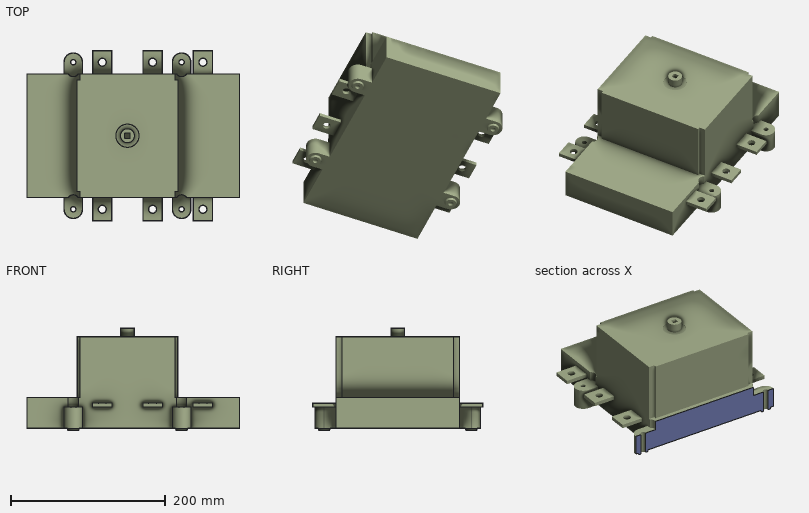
import cadquery as cq
import math

BASE_LEFT = 130.0
BASE_RIGHT = 145.0
BODY_DEPTH = 160.0
BASE_HEIGHT = 40.0

TOWER_WIDTH = 130.0
TOWER_TOP = 118.5
CORNER_NOTCH_X = 3.5
CORNER_NOTCH_Y = 8.0
RECESS_DIAMETER = 30.0
RECESS_DEPTH = 0.5

SHAFT_DIAMETER = 18.0
SHAFT_TOP = 129.5
SOCKET_SIZE = 7.0
SOCKET_DEPTH = 10.0
SOCKET_CORNER_RADIUS = 1.0

TERMINAL_PITCH = 65.0
TERMINAL_COUNT = 3
SHAFT_OFFSET_PITCHES = 0.5
TERMINAL_WIDTH = 25.0
TERMINAL_THICKNESS = 5.0
TERMINAL_BOTTOM = 27.5
TERMINAL_SPAN = 220.0
TERMINAL_HOLE_DIAMETER = 10.0
HOLE_TO_TERMINAL_END = 15.0

LUG_SPACING = 140.0
LUG_WIDTH = 24.0
LUG_TOP = 27.5
LUG_HOLE_DIAMETER = 6.5
FOOT_TOP_DIAMETER = 16.0
FOOT_BOTTOM_DIAMETER = 14.0
FOOT_HEIGHT = 2.5
RELIEF_DIAMETER = 15.0
RELIEF_DEPTH = 3.8

BODY_HALF_DEPTH = BODY_DEPTH / 2
RECESS_FLOOR = TOWER_TOP - RECESS_DEPTH
HOLE_Y = TERMINAL_SPAN / 2 - HOLE_TO_TERMINAL_END
SIDES = (-1, 1)
TERMINAL_XS = [(i - SHAFT_OFFSET_PITCHES) * TERMINAL_PITCH for i in range(TERMINAL_COUNT)]
LUG_CENTERS = [(sx * LUG_SPACING / 2, sy * HOLE_Y) for sx in SIDES for sy in SIDES]


def block(x_size, y_size, bottom, top, x=0.0, y=0.0):
    """Upright box centred on (x, y) between two heights."""
    return cq.Workplane("XY", origin=(x, y, bottom)).rect(x_size, y_size).extrude(top - bottom)


def cylinders(centers, diameter, bottom, top):
    """Equal vertical cylinders on the given centres."""
    plane = cq.Workplane("XY", origin=(0, 0, bottom))
    return plane.pushPoints(centers).circle(diameter / 2).extrude(top - bottom)


def make_base():
    base_center_x = (BASE_RIGHT - BASE_LEFT) / 2
    base = block(BASE_LEFT + BASE_RIGHT, BODY_DEPTH, 0, BASE_HEIGHT, base_center_x)
    relief_y = BODY_HALF_DEPTH - RELIEF_DEPTH + RELIEF_DIAMETER / 2
    relief_centers = [(sx * LUG_SPACING / 2, sy * relief_y) for sx in SIDES for sy in SIDES]
    return base.cut(cylinders(relief_centers, RELIEF_DIAMETER, LUG_TOP, BASE_HEIGHT))


def make_tower():
    """Cover block with notched vertical corners and a shallow round recess around the shaft."""
    tower = block(TOWER_WIDTH, BODY_DEPTH - 2 * CORNER_NOTCH_Y, BASE_HEIGHT, TOWER_TOP)
    tower = tower.union(block(TOWER_WIDTH - 2 * CORNER_NOTCH_X, BODY_DEPTH, BASE_HEIGHT, TOWER_TOP))
    return tower.cut(cylinders([(0, 0)], RECESS_DIAMETER, RECESS_FLOOR, TOWER_TOP))


def make_shaft():
    """Round drive shaft with a blind square socket in its end."""
    shaft = cylinders([(0, 0)], SHAFT_DIAMETER, RECESS_FLOOR, SHAFT_TOP)
    socket = block(SOCKET_SIZE, SOCKET_SIZE, SHAFT_TOP - SOCKET_DEPTH, SHAFT_TOP)
    return shaft.cut(socket.edges("|Z").fillet(SOCKET_CORNER_RADIUS))


def make_terminals():
    """Flat bars reaching out of both long walls, one hole near each end."""
    terminal_top = TERMINAL_BOTTOM + TERMINAL_THICKNESS
    terminals = cq.Workplane("XY")
    for x in TERMINAL_XS:
        terminals = terminals.union(block(TERMINAL_WIDTH, TERMINAL_SPAN, TERMINAL_BOTTOM, terminal_top, x))
    hole_centers = [(x, side * HOLE_Y) for x in TERMINAL_XS for side in SIDES]
    return terminals.cut(cylinders(hole_centers, TERMINAL_HOLE_DIAMETER, TERMINAL_BOTTOM, terminal_top))


def make_feet():
    """Conical feet that narrow downward from the underside of the lugs."""
    top_radius = FOOT_TOP_DIAMETER / 2
    taper = math.degrees(math.atan2(top_radius - FOOT_BOTTOM_DIAMETER / 2, FOOT_HEIGHT))
    return cq.Workplane("XY").pushPoints(LUG_CENTERS).circle(top_radius).extrude(-FOOT_HEIGHT, taper=taper)


def make_lugs():
    """Round-ended mounting lugs standing on conical feet, each with a through hole."""
    lugs = cylinders(LUG_CENTERS, LUG_WIDTH, 0, LUG_TOP)
    web_length = HOLE_Y - BODY_HALF_DEPTH
    web_y = (HOLE_Y + BODY_HALF_DEPTH) / 2
    for x, y in LUG_CENTERS:
        side = 1 if y > 0 else -1
        lugs = lugs.union(block(LUG_WIDTH, web_length, 0, LUG_TOP, x, side * web_y))
    lugs = lugs.union(make_feet())
    return lugs.cut(cylinders(LUG_CENTERS, LUG_HOLE_DIAMETER, -FOOT_HEIGHT, LUG_TOP))


result = make_base().union(make_tower()).union(make_shaft())
result = result.union(make_terminals()).union(make_lugs())